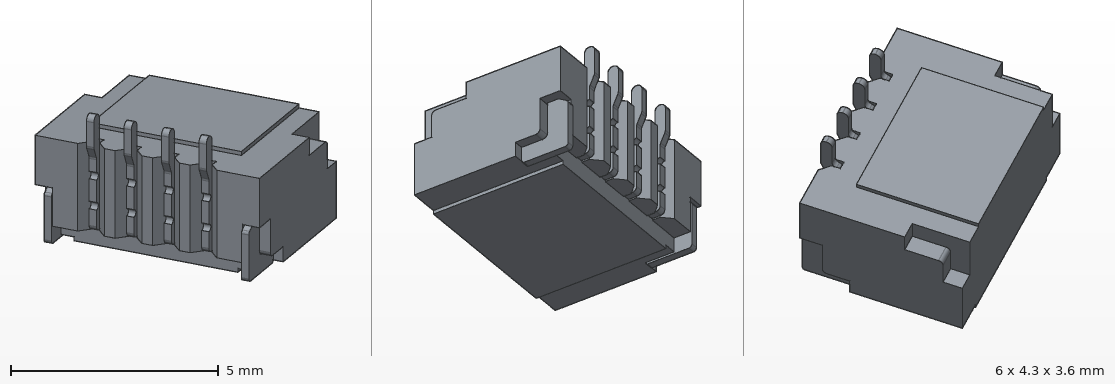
import cadquery as cq
import math


WIDTH = 6.0
DEPTH = 4.255
PLATE_THICKNESS = 0.1
BODY_BOTTOM = PLATE_THICKNESS
BODY_TOP = BODY_BOTTOM + 2.7
TOP_PLATE_WIDTH = 4.0
TOP_PLATE_DEPTH = 3.19
BOTTOM_PLATE_WIDTH = 4.38
UNDERCUT_DEPTH = 0.475
UNDERCUT_TOP = 0.505
CORNER_WIDTH = 0.46
CORNER_RADIUS = 0.12

NOTCH_LENGTH = 1.505
NOTCH_LEG_DEPTH = 0.505
NOTCH_SHELF = 2.335
NOTCH_BOTTOM = 1.59

POCKET_LENGTH = 1.31
POCKET_LEG_DEPTH = 0.595
POCKET_TOP = 1.505

PIN_COUNT = 4
PIN_PITCH = 1.0
PIN_WIDTH = 0.2
PIN_TOP = 3.6
PROTRUSION = 0.05
TAIL_DEPTH = 0.305
STEM_FRONT = 0.1
STEM_BOTTOM = 0.54
STEM_RADIUS = 0.12
BEND_RADIUS = 0.15
CRANK_TOP_FRONT = 2.765
CRANK_BOTTOM_FRONT = 2.455
CRANK_TOP_REAR = 2.885
RELIEF_RADIUS = 0.095
RELIEF_HEIGHTS = (1.195, 1.98)

SLOT_WIDTH = 0.22
VEE_WIDTH = 0.715
VEE_DEPTH = 0.25

ANCHOR_THICKNESS = 0.2
ANCHOR_BOTTOM = 0.04
ANCHOR_REAR = 0.545
ANCHOR_SLOPE_START = 0.235
ANCHOR_SLOPE_DROP = 0.14
ANCHOR_INNER_RADIUS = 0.145
ANCHOR_OUTER_RADIUS = 0.09
ANCHOR_HEEL_RADIUS = 0.07


def box(x_range, y_range, z_range):
    """Axis-aligned box between pairs of limits."""
    sizes = [high - low for low, high in (x_range, y_range, z_range)]
    corner = (x_range[0], y_range[0], z_range[0])
    return cq.Workplane("XY").box(*sizes, centered=False).translate(corner)


def centered_range(middle, size):
    return (middle - size / 2, middle + size / 2)


def extrude_profile(points, x_start, thickness):
    """Extrude a closed (Y, Z) polygon along +X."""
    return cq.Workplane("YZ").workplane(offset=x_start).polyline(points).close().extrude(thickness)


def fillet_at(solid, point, radius):
    """Round the X-direction edge nearest to the given (Y, Z) point."""
    middle = solid.val().BoundingBox().center.x
    edge = cq.selectors.NearestToPointSelector((middle, *point))
    return solid.edges("|X").edges(edge).fillet(radius)


def both_sides(solid):
    """Add the mirror image of the solid across the middle plane X = 0."""
    return solid.union(solid.mirror("YZ"))


def make_housing():
    body = box(centered_range(0, WIDTH), (0, DEPTH), (BODY_BOTTOM, BODY_TOP))
    undercut = box(centered_range(0, WIDTH), (0, UNDERCUT_DEPTH), (0, UNDERCUT_TOP))
    top_plate = box(
        centered_range(0, TOP_PLATE_WIDTH),
        (DEPTH - TOP_PLATE_DEPTH, DEPTH),
        (BODY_TOP, BODY_TOP + PLATE_THICKNESS),
    )
    bottom_plate = box(centered_range(0, BOTTOM_PLATE_WIDTH), (UNDERCUT_DEPTH, DEPTH), (0, BODY_BOTTOM))
    return body.cut(undercut).union(top_plate).union(bottom_plate)


def make_notch():
    inner_corner = (DEPTH - NOTCH_LEG_DEPTH, NOTCH_SHELF)
    profile = [
        (DEPTH, NOTCH_BOTTOM),
        (DEPTH, BODY_TOP),
        (DEPTH - NOTCH_LENGTH, BODY_TOP),
        (DEPTH - NOTCH_LENGTH, NOTCH_SHELF),
        inner_corner,
        (DEPTH - NOTCH_LEG_DEPTH, NOTCH_BOTTOM),
    ]
    notch = extrude_profile(profile, WIDTH / 2 - CORNER_WIDTH, CORNER_WIDTH)
    return fillet_at(notch, inner_corner, CORNER_RADIUS)


def make_pocket():
    inner_corner = (POCKET_LEG_DEPTH, UNDERCUT_TOP)
    profile = [
        (0, 0),
        (POCKET_LENGTH, 0),
        (POCKET_LENGTH, UNDERCUT_TOP),
        inner_corner,
        (POCKET_LEG_DEPTH, POCKET_TOP),
        (0, POCKET_TOP),
    ]
    pocket = extrude_profile(profile, WIDTH / 2 - CORNER_WIDTH, CORNER_WIDTH)
    return fillet_at(pocket, inner_corner, CORNER_RADIUS)


def make_pin_clearance():
    """Vee groove in the front face leading into a slot, centred on X = 0."""
    outline = [
        (-VEE_WIDTH / 2, 0),
        (-SLOT_WIDTH / 2, VEE_DEPTH),
        (-SLOT_WIDTH / 2, UNDERCUT_DEPTH),
        (SLOT_WIDTH / 2, UNDERCUT_DEPTH),
        (SLOT_WIDTH / 2, VEE_DEPTH),
        (VEE_WIDTH / 2, 0),
    ]
    return cq.Workplane("XY").polyline(outline).close().extrude(BODY_TOP)


def make_pin():
    """Pin centred on X = 0: a stem against the slot wall and a cranked tail with a round tip."""
    tail_front = -PROTRUSION
    tail_rear = tail_front + TAIL_DEPTH
    start = -PIN_WIDTH / 2

    arc_depth = (UNDERCUT_DEPTH - tail_rear) / 2
    arc_height = math.sqrt(BEND_RADIUS**2 - (BEND_RADIUS - arc_depth) ** 2)
    crank_middle = (tail_rear + arc_depth, CRANK_TOP_REAR - arc_height)
    crank_end = (UNDERCUT_DEPTH, CRANK_TOP_REAR - 2 * arc_height)

    tip_corners = [(tail_front, PIN_TOP), (tail_rear, PIN_TOP)]
    crank_corners = [(tail_front, CRANK_TOP_FRONT), (STEM_FRONT, CRANK_BOTTOM_FRONT)]
    pin = (
        cq.Workplane("YZ")
        .workplane(offset=start)
        .moveTo(*tip_corners[0])
        .lineTo(*tip_corners[1])
        .lineTo(tail_rear, CRANK_TOP_REAR)
        .tangentArcPoint(crank_middle, relative=False)
        .tangentArcPoint(crank_end, relative=False)
        .lineTo(UNDERCUT_DEPTH, STEM_BOTTOM)
        .lineTo(STEM_FRONT, STEM_BOTTOM)
        .lineTo(*crank_corners[1])
        .lineTo(*crank_corners[0])
        .close()
        .extrude(PIN_WIDTH)
    )
    for corner in tip_corners + crank_corners:
        pin = fillet_at(pin, corner, BEND_RADIUS)
    pin = fillet_at(pin, (STEM_FRONT, STEM_BOTTOM), STEM_RADIUS)
    reliefs = (
        cq.Workplane("YZ")
        .workplane(offset=start)
        .pushPoints([(STEM_FRONT, height) for height in RELIEF_HEIGHTS])
        .circle(RELIEF_RADIUS)
        .extrude(PIN_WIDTH)
    )
    return pin.cut(reliefs)


def make_anchor():
    """L-shaped plate against the inner wall of the front pocket."""
    inner_corner = (ANCHOR_REAR, UNDERCUT_TOP)
    heel = (POCKET_LENGTH, ANCHOR_BOTTOM)
    toe = (-PROTRUSION, ANCHOR_BOTTOM)
    slope = ANCHOR_SLOPE_DROP / ANCHOR_SLOPE_START
    shoulder = (-PROTRUSION, POCKET_TOP - slope * (ANCHOR_SLOPE_START + PROTRUSION))
    profile = [
        toe,
        heel,
        (POCKET_LENGTH, UNDERCUT_TOP),
        inner_corner,
        (ANCHOR_REAR, POCKET_TOP),
        (ANCHOR_SLOPE_START, POCKET_TOP),
        shoulder,
    ]
    anchor = extrude_profile(profile, WIDTH / 2 - CORNER_WIDTH, ANCHOR_THICKNESS)
    anchor = fillet_at(anchor, inner_corner, ANCHOR_INNER_RADIUS)
    anchor = fillet_at(anchor, heel, ANCHOR_HEEL_RADIUS)
    anchor = fillet_at(anchor, toe, ANCHOR_OUTER_RADIUS)
    return fillet_at(anchor, shoulder, ANCHOR_OUTER_RADIUS)


housing = make_housing().cut(both_sides(make_notch())).cut(both_sides(make_pocket()))

pin_positions = [(index - (PIN_COUNT - 1) / 2) * PIN_PITCH for index in range(PIN_COUNT)]
for x in pin_positions:
    housing = housing.cut(make_pin_clearance().translate((x, 0, 0)))

result = housing.union(both_sides(make_anchor()))
for x in pin_positions:
    result = result.union(make_pin().translate((x, 0, 0)))